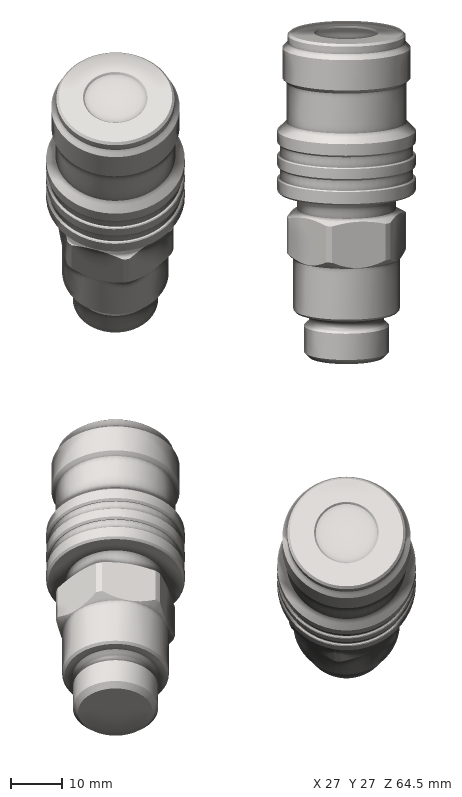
import cadquery as cq
import math

lip_radius = 23.0 / 2
collar_radius = 25.0 / 2
sleeve_radius = 23.5 / 2
band_radius = 27.0 / 2
groove_radius = 26.0 / 2
neck_radius = 19.3 / 2
body_radius = 20.8 / 2
thread_radius = 16.65 / 2

total_height = 64.5
lip_bottom = 62.55
collar_bottom = 55.55
sleeve_bottom = 46.8
grip_bottom = 32.75
hex_top = 29.4
hex_bottom = 19.6
body_bottom = 9.0
thread_top = 6.25

lip_chamfer = 0.45
band_top_chamfer = 0.2
band_bottom_chamfer = 0.4
body_chamfer = 0.45
thread_chamfer = 1.0

undercut_cone = 0.85
undercut_floor_radius = 7.3
undercut_floor_height = 7.4
undercut_bevel = 0.4

grip_grooves = [(40.3, 42.4), (35.75, 37.75)]

hex_across_flats = 21.0
hex_corner_radius = 11.8
hex_top_bevel_angle = 28.0

recess_radius = 6.3
recess_depth = 0.3


def revolve_about_z(profile):
    """Turn a closed (radius, height) outline into a solid of revolution."""
    return profile.revolve(360, (0, 0), (0, 1))


def make_turned_body():
    """Revolved outline of the whole coupling, from the thread end up to the lip."""
    profile = (
        cq.Workplane("XZ")
        .lineTo(thread_radius - thread_chamfer, 0)
        .lineTo(thread_radius, thread_chamfer)
        .lineTo(thread_radius, thread_top)
        .lineTo(thread_radius - undercut_bevel, thread_top + undercut_bevel)
        .threePointArc(
            (undercut_floor_radius, undercut_floor_height),
            (thread_radius - undercut_cone, body_bottom - undercut_cone),
        )
        .lineTo(thread_radius, body_bottom)
        .lineTo(body_radius - body_chamfer, body_bottom)
        .lineTo(body_radius, body_bottom + body_chamfer)
        .lineTo(body_radius, hex_bottom)
        .lineTo(neck_radius, hex_bottom)
        .lineTo(neck_radius, grip_bottom)
        .lineTo(band_radius - band_bottom_chamfer, grip_bottom)
        .lineTo(band_radius, grip_bottom + band_bottom_chamfer)
        .lineTo(band_radius, sleeve_bottom - (band_radius - sleeve_radius))
        .lineTo(sleeve_radius, sleeve_bottom)
        .lineTo(sleeve_radius, collar_bottom - (collar_radius - sleeve_radius))
        .lineTo(collar_radius, collar_bottom)
        .lineTo(collar_radius, lip_bottom - (collar_radius - lip_radius))
        .lineTo(lip_radius, lip_bottom)
        .lineTo(lip_radius, total_height - lip_chamfer)
        .lineTo(lip_radius - lip_chamfer, total_height)
        .lineTo(0, total_height)
        .close()
    )
    return revolve_about_z(profile)


def make_grip_groove(bottom, top):
    """Ring that cuts one groove and bevels the edges of the bands beside it."""
    profile = [
        (groove_radius, bottom),
        (band_radius - band_top_chamfer, bottom),
        (band_radius, bottom - band_top_chamfer),
        (band_radius, top + band_bottom_chamfer),
        (band_radius - band_bottom_chamfer, top),
        (groove_radius, top),
    ]
    return revolve_about_z(cq.Workplane("XZ").polyline(profile).close())


def make_hexagon():
    """Hexagonal prism trimmed by a cylinder with a bevel at each end."""
    half_side_angle = 30
    across_corners = hex_across_flats / math.cos(math.radians(half_side_angle))
    prism = (
        cq.Workplane("XY", origin=(0, 0, hex_bottom))
        .transformed(rotate=(0, 0, half_side_angle))
        .polygon(6, across_corners)
        .extrude(hex_top - hex_bottom)
    )
    top_bevel_height = (hex_corner_radius - neck_radius) * math.tan(math.radians(hex_top_bevel_angle))
    bottom_bevel_height = hex_corner_radius - body_radius
    envelope = (
        cq.Workplane("XZ")
        .moveTo(0, hex_bottom)
        .lineTo(body_radius, hex_bottom)
        .lineTo(hex_corner_radius, hex_bottom + bottom_bevel_height)
        .lineTo(hex_corner_radius, hex_top - top_bevel_height)
        .lineTo(neck_radius, hex_top)
        .lineTo(0, hex_top)
        .close()
    )
    return prism.intersect(revolve_about_z(envelope))


def make_recess():
    """Shallow round pocket with a 45 degree wall, sunk into the top face."""
    return (
        cq.Workplane("XY", origin=(0, 0, total_height))
        .circle(recess_radius)
        .extrude(-recess_depth, taper=45)
    )


result = make_turned_body().union(make_hexagon())
for groove_bottom, groove_top in grip_grooves:
    result = result.cut(make_grip_groove(groove_bottom, groove_top))
result = result.cut(make_recess())